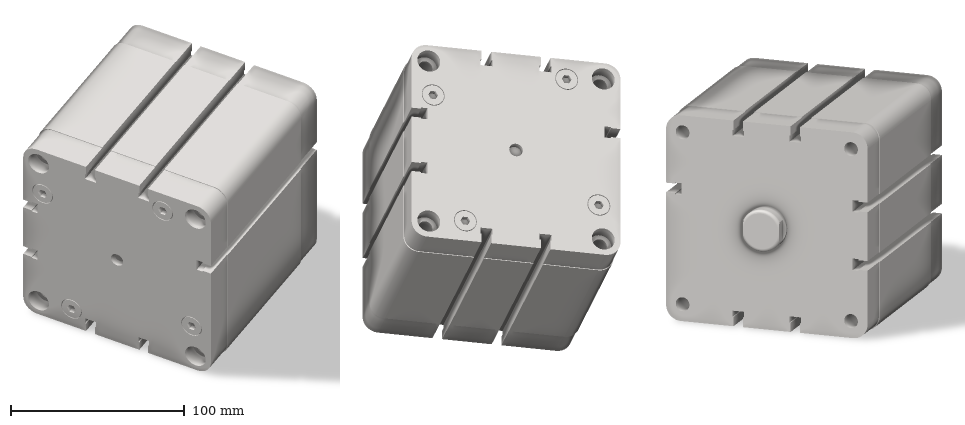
import cadquery as cq


total_length = 136.5
barrel_side = 124.0
cap_side = 123.1
cap_length = 19.4
rod_protrusion = 10.1
corner_radius = 9.0
housing_length = total_length - rod_protrusion
barrel_length = housing_length - 2 * cap_length

slot_offset = 17.5
slot_mouth_width = 5.7
slot_foot_width = 7.1
slot_depth = 9.7
slot_neck_depth = 6.0

mount_offset = 51.5
mount_hole_diameter = 8.3
mount_bore_diameter = 13.5
mount_bore_depth = 9.0

screw_far_offset = 48.9
screw_near_offset = 29.9
screw_bore_diameter = 13.5
screw_head_diameter = 12.5
screw_gap_depth = 1.4
hex_corner_diameter = 5.7
hex_depth = 3.3

centre_hole_diameter = 8.0
centre_hole_depth = 4.1

rod_diameter = 25.0
rod_edge_radius = 1.9
flat_distance = 21.8
flat_length = 7.1
shoulder_run = 1.8


def along_axis(start):
    """XZ workplane at Y = start whose positive extrusion runs to +Y.

    Its local x is -X and its local y is +Z.
    """
    return cq.Workplane(cq.Plane(origin=(0, start, 0), xDir=(-1, 0, 0), normal=(0, 1, 0)))


def rounded_block(side, start, length):
    return along_axis(start).rect(side, side).extrude(length).edges("|Y").fillet(corner_radius)


def slot_cutter(offset, turn):
    """T-slot in the top face at X = offset, then turned about the Y axis."""
    top = barrel_side / 2
    neck = cq.Workplane().box(
        slot_mouth_width, housing_length, slot_depth, centered=(True, False, False)
    )
    foot_height = slot_depth - slot_neck_depth
    foot = cq.Workplane().box(
        slot_foot_width, housing_length, foot_height, centered=(True, False, False)
    )
    slot = neck.union(foot).translate((offset, 0, top - slot_depth))
    return slot.rotate((0, 0, 0), (0, 1, 0), turn)


def piston_rod():
    """Rod end with a rounded rim; the flats run out in sloping shoulders towards the housing."""
    rod = along_axis(housing_length).circle(rod_diameter / 2).extrude(rod_protrusion)
    rod = rod.faces(">Y").edges().fillet(rod_edge_radius)
    flat = flat_distance / 2
    shoulder = total_length - flat_length
    outer = rod_diameter / 2
    flat_cut = (
        cq.Workplane("XY")
        .polyline(
            [
                (flat, total_length),
                (flat, shoulder),
                (outer, shoulder - shoulder_run),
                (outer, total_length),
            ]
        )
        .close()
        .extrude(rod_diameter / 2, both=True)
    )
    return rod.cut(flat_cut).cut(flat_cut.mirror("YZ"))


result = rounded_block(barrel_side, cap_length, barrel_length)
for cap_start in (0, cap_length + barrel_length):
    result = result.union(rounded_block(cap_side, cap_start, cap_length))

slots = [
    (offset, turn)
    for turn in (0, 180, -90)
    for offset in (-slot_offset, slot_offset)
]
slots.append((-slot_offset, 90))
for offset, turn in slots:
    result = result.cut(slot_cutter(offset, turn))

for x in (-mount_offset, mount_offset):
    for z in (-mount_offset, mount_offset):
        hole_plane = along_axis(0).center(x, z)
        hole = hole_plane.circle(mount_hole_diameter / 2).extrude(housing_length)
        bore = hole_plane.circle(mount_bore_diameter / 2).extrude(mount_bore_depth)
        result = result.cut(hole).cut(bore)

screw_points = [
    (screw_far_offset, screw_near_offset),
    (-screw_near_offset, screw_far_offset),
    (-screw_far_offset, -screw_near_offset),
    (screw_near_offset, -screw_far_offset),
]
for point in screw_points:
    seat = along_axis(0).center(*point)
    ring_gap = seat.circle(screw_bore_diameter / 2).circle(screw_head_diameter / 2).extrude(screw_gap_depth)
    hex_socket = seat.polygon(6, hex_corner_diameter).extrude(hex_depth)
    result = result.cut(ring_gap).cut(hex_socket)

result = result.cut(along_axis(0).circle(centre_hole_diameter / 2).extrude(centre_hole_depth))

result = result.union(piston_rod())